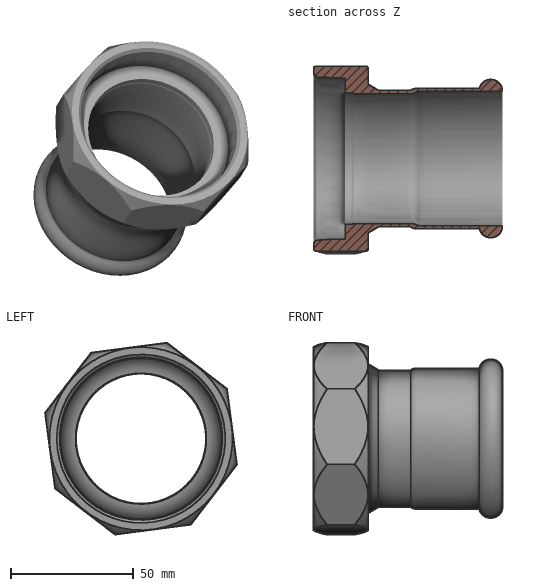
import cadquery as cq
import math

nut_width = 22.5
nut_sides = 8
nut_half_extent = 39.2
nut_turn = 15.0
rim_diameter = 74.7
rim_angle = 30.0

length = 77.3
cone_diameter = 60.8
cone_end = 26.6
neck_diameter = 56.0
step_start = 39.75
step_end = 41.9
sleeve_diameter = 57.5

bead_diameter = 64.9
bead_radius = 4.85
bead_land_start = 73.2
bead_land_width = 0.9

mouth_diameter = 68.8
mouth_depth = 1.3
socket_diameter = 66.5
socket_end_diameter = 65.5
socket_depth = 12.85
lip_diameter = 53.5
lip_length = 2.9
lip_taper = 0.6
bore_diameter = 53.0
bore_end = 40.8
bore_exit = 41.4
bore_exit_diameter = 53.5
pipe_stop = 43.1
pipe_diameter = 54.7

nut_radius = nut_half_extent / math.cos(math.radians(nut_turn))


def revolve(profile):
    """Turn a closed (x, radius) profile around the X axis."""
    return profile.close().revolve(360, (0, 0, 0), (1, 0, 0))


def make_nut():
    prism = (
        cq.Workplane("YZ")
        .transformed(rotate=(0, 0, nut_turn))
        .polygon(nut_sides, 2 * nut_radius)
        .extrude(nut_width)
    )
    rim_radius = rim_diameter / 2
    rim_depth = (nut_radius - rim_radius) / math.tan(math.radians(rim_angle))
    envelope = revolve(
        cq.Workplane("XY")
        .lineTo(0, rim_radius)
        .lineTo(rim_depth, nut_radius)
        .lineTo(nut_width - rim_depth, nut_radius)
        .lineTo(nut_width, rim_radius)
        .lineTo(nut_width, 0)
    )
    return prism.intersect(envelope)


def bead_height(x):
    """Radius from the part's axis to the round top of the bead at x."""
    center_x = length - bead_radius
    center_height = bead_diameter / 2 - bead_radius
    return center_height + math.sqrt(bead_radius**2 - (x - center_x) ** 2)


def make_sleeve():
    neck_radius = neck_diameter / 2
    sleeve_radius = sleeve_diameter / 2
    pipe_radius = pipe_diameter / 2

    step_length = step_end - step_start
    step_rise = sleeve_radius - neck_radius
    step_radius = (step_length**2 + step_rise**2) / (2 * step_rise)
    step_middle = (step_start + step_end) / 2
    step_middle_radius = (
        sleeve_radius - step_radius + math.sqrt(step_radius**2 - (step_length / 2) ** 2)
    )

    center_x = length - bead_radius
    center_height = bead_diameter / 2 - bead_radius
    bead_start = center_x - math.sqrt(bead_radius**2 - (sleeve_radius - center_height) ** 2)
    land_end = bead_land_start + bead_land_width
    diagonal = bead_radius * math.sqrt(0.5)
    mouth_x = center_x + math.sqrt(bead_radius**2 - (center_height - pipe_radius) ** 2)

    return revolve(
        cq.Workplane("XY")
        .moveTo(nut_width, 0)
        .lineTo(nut_width, cone_diameter / 2)
        .lineTo(cone_end, neck_radius)
        .lineTo(step_start, neck_radius)
        .threePointArc((step_middle, step_middle_radius), (step_end, sleeve_radius))
        .lineTo(bead_start, sleeve_radius)
        .threePointArc(
            (center_x - diagonal, center_height + diagonal),
            (bead_land_start, bead_height(bead_land_start)),
        )
        .lineTo(land_end, bead_height(land_end))
        .threePointArc((center_x + diagonal, center_height + diagonal), (mouth_x, pipe_radius))
        .lineTo(mouth_x, 0)
    )


def make_cavity():
    lip_end = socket_depth + lip_length
    return revolve(
        cq.Workplane("XY")
        .lineTo(0, mouth_diameter / 2)
        .lineTo(mouth_depth, socket_diameter / 2)
        .lineTo(socket_depth, socket_end_diameter / 2)
        .lineTo(socket_depth, lip_diameter / 2)
        .lineTo(lip_end, lip_diameter / 2)
        .lineTo(lip_end + lip_taper, bore_diameter / 2)
        .lineTo(bore_end, bore_diameter / 2)
        .lineTo(bore_exit, bore_exit_diameter / 2)
        .lineTo(pipe_stop, pipe_diameter / 2)
        .lineTo(length, pipe_diameter / 2)
        .lineTo(length, 0)
    )


result = make_nut().union(make_sleeve()).cut(make_cavity())